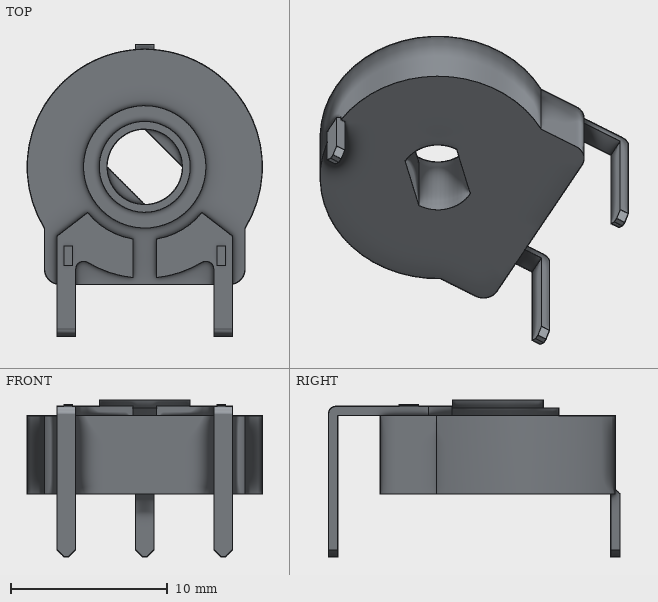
import cadquery as cq
import math

body_radius = 7.5
body_height = 5.0
foot_half_width = 6.4
foot_end_y = -body_radius
foot_corner_radius = 1.0

ring_diameter = 7.8
ring_top = body_height + 0.5
hub_diameter = 5.8
hub_top = body_height + 1.0

hole_diameter = 4.8
flat_spacing = hole_diameter / math.sqrt(2)
flat_top = hub_top - 0.6
flat_angle = -45.0

sheet_thickness = 0.6
pin_width = 1.2
pin_length = 4.0
tip_length = 0.45
tip_width = 0.3

terminal_x = 5.0
terminal_top = body_height + sheet_thickness
terminal_end_y = -10.8
bend_radius = 0.5
pad_inner_radius = 4.66
pad_outer_radius = 7.1
pad_side_x = 0.76
pad_peak_x = 3.64
pad_shoulder_y = -4.42
pad_notch_radius = 0.5

tab_width = 0.55
tab_length = 1.25
tab_height = 0.1
tab_x = 4.885
tab_y = -5.67

centre_pin_outer_y = 7.8
centre_pin_slope_height = sheet_thickness


def make_housing():
    round_body = cq.Workplane("XY").circle(body_radius).extrude(body_height)
    foot = (
        cq.Workplane("XY")
        .rect(2 * foot_half_width, -foot_end_y)
        .extrude(body_height)
        .translate((0, foot_end_y / 2, 0))
        .edges("|Z and <Y")
        .fillet(foot_corner_radius)
    )
    ring = cq.Workplane("XY").circle(ring_diameter / 2).extrude(ring_top)
    hub = cq.Workplane("XY").circle(hub_diameter / 2).extrude(hub_top)
    return round_body.union(foot).union(ring).union(hub)


def make_shaft_hole():
    round_hole = cq.Workplane("XY").circle(hole_diameter / 2).extrude(hub_top)
    upper = (
        cq.Workplane("XY", origin=(0, 0, flat_top))
        .circle(hole_diameter / 2)
        .extrude(hub_top - flat_top)
    )
    between_flats = (
        cq.Workplane("XY")
        .rect(hole_diameter, flat_spacing)
        .extrude(flat_top)
        .rotate((0, 0, 0), (0, 0, 1), flat_angle)
    )
    return round_hole.intersect(between_flats).union(upper)


def make_pin(x, low_y, top):
    """Flat pin with a tapered tip; its sheet spans low_y to low_y + sheet_thickness."""
    half_width = pin_width / 2
    half_tip = tip_width / 2
    taper_start = tip_length - pin_length
    outline = [
        (x - half_width, top),
        (x - half_width, taper_start),
        (x - half_tip, -pin_length),
        (x + half_tip, -pin_length),
        (x + half_width, taper_start),
        (x + half_width, top),
    ]
    return (
        cq.Workplane("XZ", origin=(0, low_y, 0))
        .polyline(outline)
        .close()
        .extrude(-sheet_thickness)
    )


def point_on_circle(radius, x):
    """Point on the -Y half of a circle about the shaft axis."""
    return (x, -math.sqrt(radius**2 - x**2))


def make_terminal():
    """Terminal on the +X side."""
    leg_inner_x = terminal_x - pin_width / 2
    leg_outer_x = terminal_x + pin_width / 2
    pad_middle_x = (pad_side_x + pad_peak_x) / 2
    notch_middle_x = (pad_side_x + leg_inner_x) / 2
    plate = (
        cq.Workplane("XY", origin=(0, 0, body_height))
        .moveTo(leg_outer_x, terminal_end_y)
        .lineTo(leg_outer_x, pad_shoulder_y)
        .lineTo(*point_on_circle(pad_inner_radius, pad_peak_x))
        .threePointArc(
            point_on_circle(pad_inner_radius, pad_middle_x),
            point_on_circle(pad_inner_radius, pad_side_x),
        )
        .lineTo(*point_on_circle(pad_outer_radius, pad_side_x))
        .threePointArc(
            point_on_circle(pad_outer_radius, notch_middle_x),
            point_on_circle(pad_outer_radius, leg_inner_x),
        )
        .lineTo(leg_inner_x, terminal_end_y)
        .close()
        .extrude(sheet_thickness)
    )
    notch_corner = point_on_circle(pad_outer_radius, leg_inner_x)
    plate = plate.edges(
        cq.selectors.NearestToPointSelector((*notch_corner, body_height + sheet_thickness / 2))
    ).fillet(pad_notch_radius)
    bent = plate.union(make_pin(terminal_x, terminal_end_y, terminal_top))
    bent = bent.edges("|X and >Z and <Y").fillet(bend_radius)
    tab = (
        cq.Workplane("XY", origin=(tab_x, tab_y, terminal_top))
        .rect(tab_width, tab_length)
        .extrude(tab_height)
    )
    return bent.union(tab)


def make_centre_pin():
    inner_y = centre_pin_outer_y - sheet_thickness
    leg = make_pin(0, inner_y, 0)
    sloped_top = (
        cq.Workplane("YZ")
        .polyline([(inner_y, 0), (centre_pin_outer_y, 0), (inner_y, centre_pin_slope_height)])
        .close()
        .extrude(pin_width / 2, both=True)
    )
    return leg.union(sloped_top)


terminal = make_terminal()
result = (
    make_housing()
    .cut(make_shaft_hole())
    .union(terminal)
    .union(terminal.mirror("YZ"))
    .union(make_centre_pin())
)